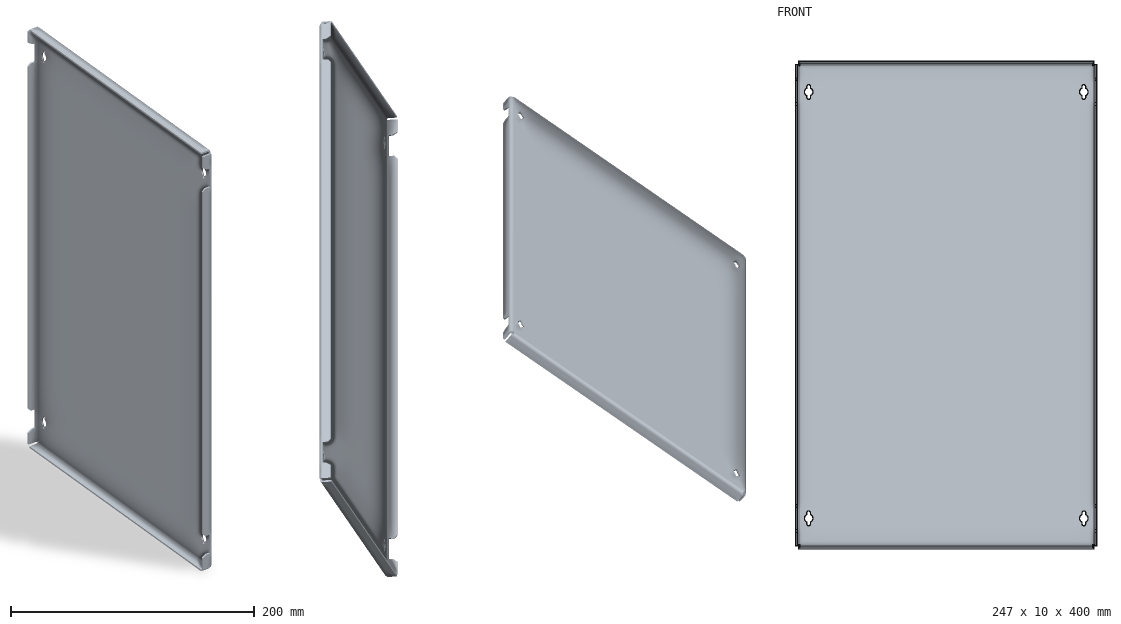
import cadquery as cq

width = 247.0
height = 400.0
depth = 10.0
sheet = 1.5
bend_radius = 3.0
inner_radius = bend_radius - sheet

corner_relief = 2.6
fold_relief = 3.5

gap_start = 16.0
gap_end = 34.0
tab_chamfer_along = 2.5
tab_chamfer_across = 4.0
flange_chamfer = 2.5

hole_inset_x = 11.0
hole_inset_z = 25.0
hole_diameter = 7.0
slot_length = 12.0
slot_width = 3.0

back_y = depth / 2
front_y = -depth / 2
bend_end_y = back_y - bend_radius


def folded_tray():
    """Sheet with four flanges, rounded outside and inside along the folds."""
    outer = cq.Workplane("XY").box(width, depth, height)
    outer = outer.faces(">Y").edges().fillet(bend_radius)
    inner = cq.Workplane("XY").box(width - 2 * sheet, depth, height - 2 * sheet)
    inner = inner.faces(">Y").edges().fillet(inner_radius)
    return outer.cut(inner.translate((0, -sheet, 0)))


def corner_reliefs(size, reach):
    """Square prisms that open the four corners, reaching forward from the back face."""
    return (
        cq.Workplane("XZ", origin=(0, back_y, 0))
        .rect(width - size, height - size, forConstruction=True)
        .vertices()
        .rect(size, size)
        .extrude(reach)
    )


def side_gap():
    """Cutter across both side flanges near the upper end, with bevelled mouth."""
    end_z = height / 2
    tab_z = end_z - gap_start
    flange_z = end_z - gap_end
    outline = [
        (bend_end_y, tab_z),
        (front_y + tab_chamfer_across, tab_z),
        (front_y, tab_z + tab_chamfer_along),
        (front_y, flange_z - flange_chamfer),
        (front_y + flange_chamfer, flange_z),
        (bend_end_y, flange_z),
    ]
    return cq.Workplane("YZ").polyline(outline).close().extrude(width, both=True)


def mounting_holes():
    """Cutters for the four slotted holes."""
    centres = (
        cq.Workplane("XZ")
        .rect(width - 2 * hole_inset_x, height - 2 * hole_inset_z, forConstruction=True)
        .vertices()
    )
    round_holes = centres.circle(hole_diameter / 2).extrude(depth, both=True)
    slots = centres.slot2D(slot_length, slot_width, 90).extrude(depth, both=True)
    return round_holes.union(slots)


upper_gap = side_gap()
lower_gap = upper_gap.mirror("XY")

result = (
    folded_tray()
    .cut(corner_reliefs(corner_relief, depth))
    .cut(corner_reliefs(fold_relief, sheet))
    .cut(upper_gap)
    .cut(lower_gap)
    .cut(mounting_holes())
)